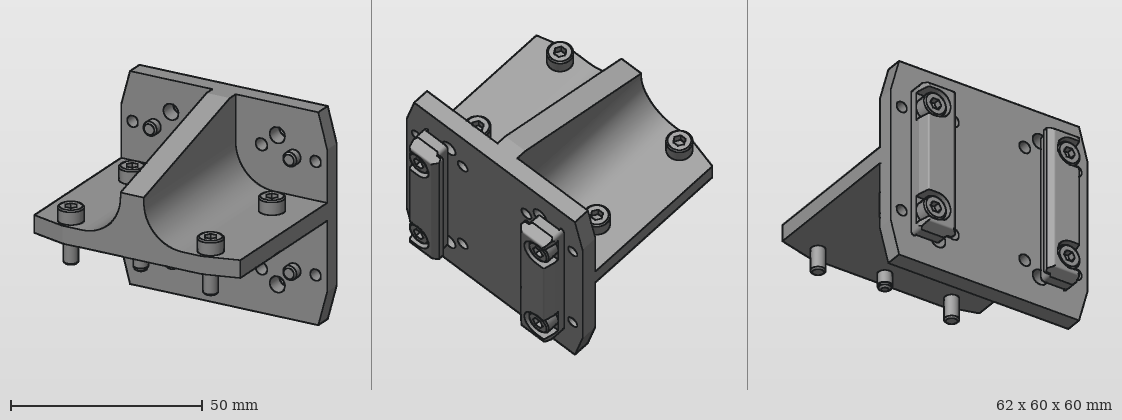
import cadquery as cq
import math

PLATE_WIDTH = 62
PLATE_HEIGHT = 60.0
THICKNESS = 5.0
CORNER_LONG = 10.0
SLOPE = math.tan(math.radians(15))
CORNER_SHORT = CORNER_LONG * SLOPE

TOTAL_DEPTH = 60.0
CLIP_DEPTH = 7.0
SHELF_LENGTH = TOTAL_DEPTH - THICKNESS - CLIP_DEPTH
RIB_WIDTH = 7.0
RIB_FLAT = 3.05
RIB_FILLET = 11.55

BOLT_NEAR = 16.0
BOLT_FAR = 21.0
SIDE_HOLE = (3.2, 27.5, BOLT_NEAR)
INNER_HOLE = (3.5, 11.2, 17.5)
ACCESS_HOLE = (4.5, BOLT_NEAR, BOLT_FAR)

SCREW_DIAMETER = 4.0
SCREW_TIP_CHAMFER = 0.5
HEAD_DIAMETER = 7.0
HEAD_HEIGHT = 4.0
HEAD_CHAMFER = 0.45
SOCKET_FLATS = 3.0
SOCKET_DEPTH = 2.0
SHELF_SCREW_LENGTH = 12.0
PLATE_SCREW_LENGTH = 10.0
SHELF_SCREW_INSET = 11.5
SHELF_SCREW_PITCH = 32.0

PIN_LENGTH = 3.6
PIN_NECK_DIAMETER = 3.5
PIN_NECK_END = 4.3
PIN_TIP_DIAMETER = 2.0
PIN_END = 4.8

CLIP_HEIGHT = 45.0
CLIP_OUTER = BOLT_FAR + HEAD_DIAMETER / 2
CLIP_INNER = 15.9
CLIP_TAPER_START = 3.6
CLIP_SIDE_TAPER = 0.8
CLIP_END_TAPER = 1.2
CLIP_CORNER = 1.1
CLIP_BACK_FILLET = 0.55
CLIP_GAP = 0.6
CLIP_FOOT_WIDTH = 1.1
HOOK_X = 14.4
HOOK_BOTTOM = 4.0
HOOK_SHOULDER = 5.6
HOOK_HEIGHT = 44.4
HOOK_CORNER = 0.75
SEAT_HEIGHT = 2.3
SEAT_WIDTH = 8.3


def mirrored(x, z):
    return [(sx * x, sz * z) for sx in (-1, 1) for sz in (-1, 1)]


def make_plate():
    half_w = PLATE_WIDTH / 2
    half_h = PLATE_HEIGHT / 2
    quarter = [(half_w, half_h - CORNER_LONG), (half_w - CORNER_SHORT, half_h)]
    top = quarter + [(-x, z) for x, z in reversed(quarter)]
    bottom = [(-x, -z) for x, z in top]
    plate = cq.Workplane("XZ").polyline(top + bottom).close().extrude(-THICKNESS)
    for diameter, x, z in (SIDE_HOLE, INNER_HOLE, ACCESS_HOLE):
        holes = cq.Workplane("XZ").pushPoints(mirrored(x, z)).circle(diameter / 2).extrude(-THICKNESS)
        plate = plate.cut(holes)
    return plate


def make_shelf():
    half_w = PLATE_WIDTH / 2
    outline = [
        (-half_w, 0),
        (half_w, 0),
        (half_w, CORNER_SHORT - SHELF_LENGTH),
        (half_w - CORNER_LONG, -SHELF_LENGTH),
        (CORNER_LONG - half_w, -SHELF_LENGTH),
        (-half_w, CORNER_SHORT - SHELF_LENGTH),
    ]
    return cq.Workplane("XY").polyline(outline).close().extrude(THICKNESS)


def make_rib():
    """Central rib with concave flanks, its top sloping down toward the front."""
    half_w = RIB_WIDTH / 2
    foot = half_w + RIB_FILLET
    arc_top = THICKNESS + RIB_FILLET
    top = PLATE_HEIGHT / 2
    section = (
        cq.Workplane("XZ")
        .moveTo(-foot, 0)
        .lineTo(-foot, THICKNESS)
        .radiusArc((-half_w, arc_top), -RIB_FILLET)
        .lineTo(-half_w, top)
        .lineTo(half_w, top)
        .lineTo(half_w, arc_top)
        .radiusArc((foot, THICKNESS), -RIB_FILLET)
        .lineTo(foot, 0)
        .close()
        .extrude(SHELF_LENGTH)
    )
    front_top = top - (SHELF_LENGTH - RIB_FLAT) * SLOPE
    profile = [(0, 0), (0, top), (-RIB_FLAT, top), (-SHELF_LENGTH, front_top), (-SHELF_LENGTH, 0)]
    return section.intersect(cq.Workplane("YZ").polyline(profile).close().extrude(foot, both=True))


def make_screw(length):
    """Socket head screw pointing down, underside of the head at Z = 0."""
    shank = cq.Workplane("XY").circle(SCREW_DIAMETER / 2).extrude(-length)
    shank = shank.faces("<Z").chamfer(SCREW_TIP_CHAMFER)
    head = cq.Workplane("XY").circle(HEAD_DIAMETER / 2).extrude(HEAD_HEIGHT)
    head = head.faces(">Z").chamfer(HEAD_CHAMFER)
    return head.cut(make_socket()).union(shank)


def make_socket():
    """Hexagonal pocket with a 120 degree conical bottom."""
    radius = SOCKET_FLATS / 2 / math.cos(math.radians(30))
    cone_top = HEAD_HEIGHT - SOCKET_DEPTH
    cone_tip = cone_top - radius * math.tan(math.radians(30))
    half_profile = [(0, HEAD_HEIGHT), (radius, HEAD_HEIGHT), (radius, cone_top), (0, cone_tip)]
    drilled = cq.Workplane("XZ").polyline(half_profile).close().revolve(360, (0, 0), (0, 1))
    hexagon = cq.Workplane("XY").polygon(6, 2 * radius).extrude(HEAD_HEIGHT)
    return hexagon.intersect(drilled)


def make_pin():
    neck = PIN_NECK_DIAMETER / 2
    half_profile = [
        (0, THICKNESS / 2),
        (SCREW_DIAMETER / 2, THICKNESS / 2),
        (SCREW_DIAMETER / 2, -PIN_LENGTH),
        (neck, -PIN_LENGTH),
        (neck, -PIN_NECK_END),
        (PIN_TIP_DIAMETER / 2, -PIN_END),
        (0, -PIN_END),
    ]
    return cq.Workplane("XZ").polyline(half_profile).close().revolve(360, (0, 0), (0, 1))


def clip_block(x_start, x_end, y_start, height, corner):
    size = (x_end - x_start, CLIP_DEPTH - y_start, height)
    block = cq.Workplane("XY").box(*size, centered=(False, False, True))
    return block.translate((x_start, y_start, 0)).edges("|Y").fillet(corner)


def make_clip():
    """Hooked bar for the +X side, its mounting face on Y = 0."""
    body = clip_block(CLIP_INNER, CLIP_OUTER, 0, CLIP_HEIGHT, CLIP_CORNER)
    hook = clip_block(HOOK_X, CLIP_OUTER - CLIP_CORNER, HOOK_BOTTOM, HOOK_HEIGHT, HOOK_CORNER)
    section = [
        (CLIP_OUTER, 0),
        (CLIP_OUTER, CLIP_TAPER_START),
        (CLIP_OUTER - CLIP_SIDE_TAPER, CLIP_DEPTH),
        (CLIP_INNER, CLIP_DEPTH),
        (HOOK_X, HOOK_SHOULDER),
        (HOOK_X, HOOK_BOTTOM),
        (CLIP_INNER, HOOK_BOTTOM),
        (CLIP_INNER, CLIP_GAP),
        (CLIP_OUTER - CLIP_FOOT_WIDTH, CLIP_GAP),
        (CLIP_OUTER - CLIP_FOOT_WIDTH, 0),
    ]
    half_h = CLIP_HEIGHT / 2
    side = [
        (0, half_h),
        (CLIP_TAPER_START, half_h),
        (CLIP_DEPTH, half_h - CLIP_END_TAPER),
        (CLIP_DEPTH, CLIP_END_TAPER - half_h),
        (CLIP_TAPER_START, -half_h),
        (0, -half_h),
    ]
    clip = body.union(hook)
    clip = clip.intersect(cq.Workplane("XY").polyline(section).close().extrude(half_h, both=True))
    clip = clip.intersect(cq.Workplane("YZ").polyline(side).close().extrude(PLATE_WIDTH))
    clip = clip.faces(">Y").edges().fillet(CLIP_BACK_FILLET)
    for z in (-BOLT_NEAR, BOLT_NEAR):
        clip = clip.cut(make_seat().translate((BOLT_FAR, SEAT_HEIGHT, z)))
    return clip


def make_seat():
    """U-shaped screw head pocket, open toward +X."""
    depth = CLIP_DEPTH - SEAT_HEIGHT
    round_end = cq.Workplane("XZ").circle(SEAT_WIDTH / 2).extrude(-depth)
    opening = cq.Workplane("XY").box(SEAT_WIDTH, depth, SEAT_WIDTH, centered=(False, False, True))
    return round_end.union(opening)


result = make_plate().union(make_shelf()).union(make_rib())

right_clip = make_clip().translate((0, THICKNESS, 0))
result = result.union(right_clip).union(right_clip.mirror("YZ"))

plate_screw = make_screw(PLATE_SCREW_LENGTH).rotate((0, 0, 0), (1, 0, 0), -90)
for x, z in mirrored(BOLT_FAR, BOLT_NEAR):
    result = result.union(plate_screw.translate((x, THICKNESS + SEAT_HEIGHT, z)))

shelf_screw = make_screw(SHELF_SCREW_LENGTH)
front_row = SHELF_SCREW_INSET + SHELF_SCREW_PITCH
for x in (-BOLT_FAR, BOLT_FAR):
    for inset in (SHELF_SCREW_INSET, front_row):
        result = result.union(shelf_screw.translate((x, -inset, THICKNESS)))

result = result.union(make_pin().translate((0, -front_row, 0)))